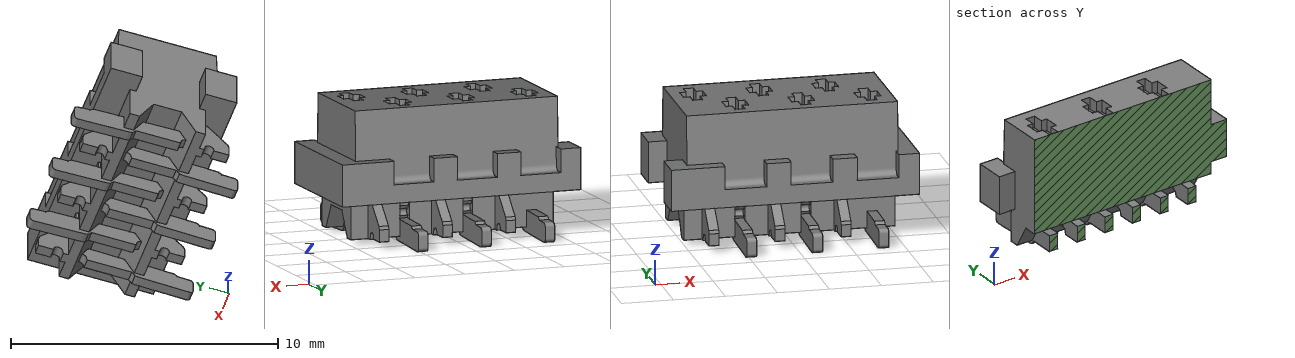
import cadquery as cq
import math

contact_count = 6
pitch = 1.27
row_offset = 0.75
lead_width = 0.38

body_bottom = 0.26
flange_bottom = 1.74
flange_top = 3.34
body_top = 5.25

body_length = 8.12
base_width = 3.0
body_top_width = 3.86
body_taper = 2.0

flange_length = 9.55
flange_width = 4.985
end_gap_width = 2.5

notch_width = 1.6
notch_floor = 2.445
notch_radius = 0.25

channel_top = 1.23
channel_top_width = 1.11
channel_bottom_width = 2.225

socket_length = 1.5
socket_arm_span = 0.88
socket_arm_width = 0.61
socket_depth = 0.5

overall_width = 6.9
foot_tip = overall_width / 2
foot_height = 0.745
foot_radius = 0.15
tail_tip = 2.67
tail_bottom = 0.33
tail_root = 1.24
relief_radius = 0.17
relief_flare = 0.03

foot_heel = [(1.01, body_bottom), (1.15, 0.1), (1.28, 0.07)]
foot_step = [(2.83, 0.76), (2.7, 0.87)]
channel_crossing_end = (-tail_root, 0.98)
tail_slope = [(-1.805, flange_bottom), (-2.62, 0.93), (-tail_tip, 0.8)]
tail_underside = [(-tail_tip, tail_bottom), (-2.05, tail_bottom), (-1.69, body_bottom)]
relief_centres = [(-0.95, 0.35), (-1.89, 0.38)]

recess_depth = 0.1
recess_step = 1.4
hollow_radius = 0.13
hollow_bottom = 1.01
undercut_bottom = 0.9
undercut_depth = 0.06


def contact_x(index):
    return (index - (contact_count - 1) / 2) * pitch


def foot_side(index):
    """Leads alternate: even ones have the solder foot on +Y, odd ones on -Y."""
    return 1 if index % 2 == 0 else -1


def body_half_width(z):
    return body_top_width / 2 + (body_top - z) * math.tan(math.radians(body_taper))


def extrude_along_x(profile, length):
    """Extrude a closed (Y, Z) profile to a length centred on the YZ plane."""
    return profile.extrude(length / 2, both=True)


def place_contact(shape, index):
    """Move a shape made for a +Y solder foot to its contact."""
    if foot_side(index) < 0:
        shape = shape.rotate((0, 0, 0), (0, 0, 1), 180)
    return shape.translate((contact_x(index), 0, 0))


def make_body():
    shoulder = body_half_width(flange_bottom)
    half_outline = [
        (base_width / 2, body_bottom),
        (base_width / 2, flange_bottom),
        (shoulder, flange_bottom),
        (body_top_width / 2, body_top),
    ]
    mirrored = [(-y, z) for y, z in reversed(half_outline)]
    profile = cq.Workplane("YZ").polyline(half_outline + mirrored).close()
    return extrude_along_x(profile, body_length)


def make_flange():
    height = flange_top - flange_bottom
    flange = cq.Workplane("XY").box(flange_length, flange_width, height, centered=(True, True, False))
    end_depth = (flange_length - body_length) / 2
    end_gap = (
        cq.Workplane("XY")
        .box(end_depth, end_gap_width, height, centered=(False, True, False))
        .translate((-flange_length / 2, 0, 0))
    )
    return flange.cut(end_gap).translate((0, 0, flange_bottom))


def make_flange_notch():
    """Notch on the +Y side whose floor is rounded up into the tapered housing wall."""
    wall = body_half_width(notch_floor + notch_radius)
    arc_middle = notch_radius * (1 - math.sqrt(0.5))
    profile = (
        cq.Workplane("YZ")
        .moveTo(flange_width / 2, notch_floor)
        .lineTo(wall + notch_radius, notch_floor)
        .threePointArc((wall + arc_middle, notch_floor + arc_middle), (wall, notch_floor + notch_radius))
        .lineTo(body_half_width(flange_top), flange_top)
        .lineTo(flange_width / 2, flange_top)
        .close()
    )
    return extrude_along_x(profile, notch_width)


def make_channel():
    profile = cq.Workplane("YZ").polyline([
        (-channel_bottom_width / 2, body_bottom),
        (-channel_top_width / 2, channel_top),
        (channel_top_width / 2, channel_top),
        (channel_bottom_width / 2, body_bottom),
    ]).close()
    return extrude_along_x(profile, body_length)


def make_socket():
    top = cq.Workplane("XY").workplane(offset=body_top)
    slot = top.rect(lead_width, socket_length).extrude(-socket_depth)
    arms = top.rect(socket_arm_span, socket_arm_width).extrude(-socket_depth)
    return slot.union(arms).translate((0, row_offset, 0))


def make_recess():
    """Shallow slot in the +Y base face with a rounded hollow and an undercut below it."""
    face = base_width / 2
    hollow_y = face - recess_depth - hollow_radius / 2
    hollow_z = hollow_bottom + hollow_radius
    profile = (
        cq.Workplane("YZ")
        .moveTo(face, flange_bottom)
        .lineTo(face - recess_depth, flange_bottom)
        .lineTo(face - recess_depth, recess_step)
        .lineTo(hollow_y, hollow_z + hollow_radius)
        .threePointArc((hollow_y - hollow_radius, hollow_z), (hollow_y, hollow_bottom))
        .lineTo(hollow_y - undercut_depth, undercut_bottom)
        .lineTo(face, undercut_bottom)
        .close()
    )
    return extrude_along_x(profile, lead_width)


def make_lead():
    """Flat lead with its solder foot on +Y and its sloped tail on -Y."""
    foot_arc = foot_radius * (1 - math.sqrt(0.5))
    foot_top_y = foot_tip - foot_radius
    profile = (
        cq.Workplane("YZ")
        .polyline(foot_heel + [(foot_top_y, 0)])
        .threePointArc((foot_tip - foot_arc, foot_arc), (foot_tip, foot_radius))
        .lineTo(foot_tip, foot_height - foot_radius)
        .threePointArc((foot_tip - foot_arc, foot_height - foot_arc), (foot_top_y, foot_height))
        .polyline(
            foot_step + [channel_crossing_end, (-tail_root, flange_bottom)] + tail_slope + tail_underside,
            includeCurrent=True,
        )
        .close()
    )
    lead = extrude_along_x(profile, lead_width)
    for y, z in relief_centres:
        relief = (
            cq.Workplane("YZ")
            .moveTo(y + relief_radius, z)
            .threePointArc((y, z + relief_radius), (y - relief_radius, z))
            .lineTo(y - relief_radius, body_bottom)
            .lineTo(y + relief_radius + relief_flare, body_bottom)
            .close()
        )
        lead = lead.cut(extrude_along_x(relief, lead_width))
    return lead


body = make_body().union(make_flange()).cut(make_channel())
for i in range(contact_count):
    body = body.cut(place_contact(make_flange_notch(), i))
    body = body.cut(place_contact(make_socket(), i))
for i in range(1, contact_count - 1):
    body = body.cut(place_contact(make_recess(), i))

result = body
for i in range(contact_count):
    result = result.union(place_contact(make_lead(), i))